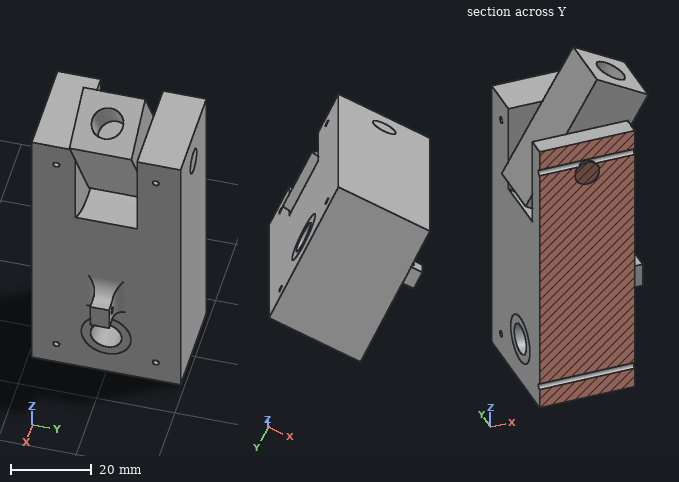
import cadquery as cq
import math

block_x = 25.4
block_y = 38.1
block_z = 76.2

pin_diameter = 6.3
pivot_z = block_z - 9.5

arm_width = 15.8
arm_length = 38.1
arm_tilt = 30.0
overall_height = 90.4
tilt = math.radians(arm_tilt)
pivot_to_arm_top = (overall_height - pivot_z - arm_width / 2 * math.sin(tilt)) / math.cos(tilt)
arm_bore_depth = 12.7
slot_floor_radius = 19.1

bore_diameter = 8.0
bushing_diameter = 12.7
bushing_z = 12.7

mount_hole_diameter = 1.5
mount_hole_inset = 6.3

lug_length = 6.3
lug_width = 4.8
lug_height = 6.3
lug_bottom_z = 22.2
lug_top_fillet = 5.1
lug_side_fillet = 2.5
lug_hole_diameter = 1.6
lug_hole_offset = 3.2

cut_margin = 4.5


def rod_x(diameter, y, z):
    """Cylinder along X through the full block."""
    return (
        cq.Workplane("YZ", origin=(-block_x / 2, y, z))
        .circle(diameter / 2)
        .extrude(block_x)
    )


def rod_y(diameter, x, z, length):
    """Cylinder along Y, centred on Y = 0."""
    return (
        cq.Workplane("XZ", origin=(x, 0, z))
        .circle(diameter / 2)
        .extrude(length / 2, both=True)
    )


def make_lug():
    """Lug with a flared top and flared sides where it meets the block."""
    face_x = block_x / 2
    tip_x = face_x + lug_length
    top_z = lug_bottom_z + lug_height
    half_width = lug_width / 2
    root_half_width = half_width + lug_side_fillet
    side_profile = (
        cq.Workplane("XZ")
        .moveTo(face_x, lug_bottom_z)
        .lineTo(tip_x, lug_bottom_z)
        .lineTo(tip_x, top_z)
        .lineTo(face_x + lug_top_fillet, top_z)
        .radiusArc((face_x, top_z + lug_top_fillet), lug_top_fillet)
        .close()
        .extrude(root_half_width, both=True)
    )
    plan_profile = (
        cq.Workplane("XY", origin=(0, 0, lug_bottom_z))
        .moveTo(face_x, -root_half_width)
        .radiusArc((face_x + lug_side_fillet, -half_width), lug_side_fillet)
        .lineTo(tip_x, -half_width)
        .lineTo(tip_x, half_width)
        .lineTo(face_x + lug_side_fillet, half_width)
        .radiusArc((face_x, root_half_width), lug_side_fillet)
        .close()
        .extrude(lug_height + lug_top_fillet)
    )
    lug_hole_z = lug_bottom_z + lug_height / 2
    lug_hole = rod_y(lug_hole_diameter, face_x + lug_hole_offset, lug_hole_z, 2 * root_half_width)
    return side_profile.intersect(plan_profile).cut(lug_hole)


def make_slot():
    """Slot through X, open at the top, with a floor curved about the pivot."""
    slot_top = cq.Workplane("XY", origin=(0, 0, pivot_z)).box(
        block_x + 2 * cut_margin,
        arm_width,
        block_z - pivot_z + cut_margin,
        centered=(True, True, False),
    )
    swing_space = rod_y(2 * slot_floor_radius, 0, pivot_z, arm_width)
    return slot_top.union(swing_space)


def make_housing():
    block = cq.Workplane("XY").box(block_x, block_y, block_z, centered=(True, True, False))
    block = block.cut(make_slot())
    block = block.cut(rod_y(pin_diameter, 0, pivot_z, block_y))
    block = block.cut(rod_x(bushing_diameter, 0, bushing_z))
    hole_y = block_y / 2 - mount_hole_inset
    for y in (-hole_y, hole_y):
        for z in (mount_hole_inset, block_z - mount_hole_inset):
            block = block.cut(rod_x(mount_hole_diameter, y, z))
    return block.union(make_lug())


def make_arm():
    """Square bar with a blind bore in its top end, tilted about the pivot."""
    arm = cq.Workplane("XY", origin=(0, 0, pivot_z + pivot_to_arm_top - arm_length)).box(
        arm_width, arm_width, arm_length, centered=(True, True, False)
    )
    arm = arm.faces(">Z").workplane().hole(bore_diameter, arm_bore_depth)
    arm = arm.cut(rod_y(pin_diameter, 0, pivot_z, arm_width))
    return arm.rotate((0, 0, pivot_z), (0, 1, pivot_z), arm_tilt)


def make_bushing():
    return rod_x(bushing_diameter, 0, bushing_z).cut(rod_x(bore_diameter, 0, bushing_z))


housing = make_housing()
arm = make_arm()
pivot_pin = rod_y(pin_diameter, 0, pivot_z, block_y)
bushing = make_bushing()

bodies = [housing, arm, pivot_pin, bushing]
result = cq.Compound.makeCompound([body.solids().val() for body in bodies])